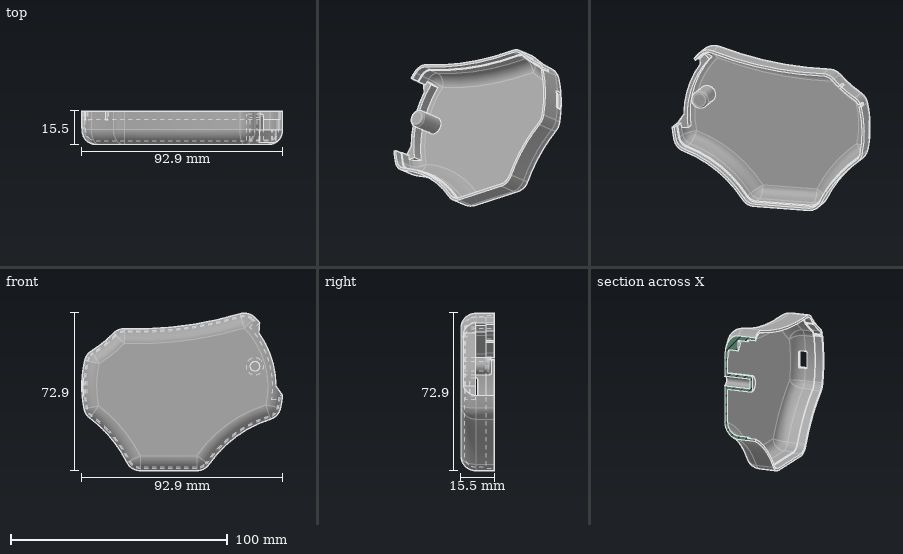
import cadquery as cq
import math


case_depth = 15.5
edge_radius = 7.0
fillet_shortfall = 0.02
wall = 1.7
lip_wall = 1.1
lip_depth = 3.8

top_left = (19.7, 58.8)
top_right = (75.1, 65.9)
right_low = (85.1, 30.4)
bottom_right = (53.2, edge_radius)
bottom_left = (27.1, edge_radius)
left_low = (7.9, 30.0)
left_high = (8.2, 49.5)

top_mid = (57.55, 61.6)
right_mid = (85.8, 43.2)
low_right_mid = (66.55, 20.9)
low_left_mid = (18.75, 19.7)
left_mid = (7.0, 39.6)
high_left_mid = (14.2, 53.7)

recess_inset = 3.2
recess_low_tip = (92.8, 34.8)
recess_low_slope = 125
recess_high_tip = (82.2, 68.3)
recess_high_slope = 266
window_depth = 8.6
window_low_slope = 180
window_high_slope = 225
backing_overlap = 1.95
cut_reach = 27.8
far_corner_angle = 30
far_corner_distance = 120.7

boss_centre = (80.0, 48.3)
boss_diameter = 8.0
boss_hole_diameter = 4.5
boss_hole_depth = 12.5
boss_top_gap = 1.4
boss_top_fillet = 1.0

port_z = (34.6, 42.8)
port_depth = (7.8, 11.6)
port_corner = 0.6
port_reach = 2.5
port_clearance = 0.9

slots = [((11.5, 60.3), 130), ((1.95, 51.9), 160)]
slot_width = 1.1
slot_depth = 4.0
slot_length = 5.6
slot_corner = 0.3


def outline(margin):
    """Outline of the floor face grown outwards by margin, on the rim plane."""
    face = (
        cq.Workplane("XZ")
        .moveTo(*top_left)
        .threePointArc(top_mid, top_right)
        .threePointArc(right_mid, right_low)
        .threePointArc(low_right_mid, bottom_right)
        .lineTo(*bottom_left)
        .threePointArc(low_left_mid, left_low)
        .threePointArc(left_mid, left_high)
        .threePointArc(high_left_mid, top_left)
        .close()
    )
    return face.offset2D(margin, "arc")


def pod(radius, depth):
    """Solid pod whose vertical corners and floor edge share one radius."""
    return outline(radius).extrude(depth).faces("<Y").edges().fillet(radius - fillet_shortfall)


def circle_centre(a, b, c):
    """Centre of the circle through three points."""
    a2, b2, c2 = (p[0] ** 2 + p[1] ** 2 for p in (a, b, c))
    d = 2 * (a[0] * (b[1] - c[1]) + b[0] * (c[1] - a[1]) + c[0] * (a[1] - b[1]))
    x = (a2 * (b[1] - c[1]) + b2 * (c[1] - a[1]) + c2 * (a[1] - b[1])) / d
    z = (a2 * (c[0] - b[0]) + b2 * (a[0] - c[0]) + c2 * (b[0] - a[0])) / d
    return (x, z)


def step(point, angle, distance):
    """Point reached by moving a distance at an angle in the XZ plane."""
    turn = math.radians(angle)
    return (point[0] + distance * math.cos(turn), point[1] + distance * math.sin(turn))


right_centre = circle_centre(top_right, right_mid, right_low)
right_radius = math.dist(right_centre, top_right)
recess_radius = right_radius + edge_radius - recess_inset
backing_radius = recess_radius - wall


def right_block(low_tip, low_slope, high_tip, high_slope, inner_radius, depth):
    """Block over the right side, ending on a line through each tip, outside a given radius."""
    inward = cut_reach / 2
    block = (
        cq.Workplane("XZ")
        .polyline([
            step(low_tip, low_slope, inward),
            step(low_tip, low_slope + 180, cut_reach),
            step(right_centre, far_corner_angle, far_corner_distance),
            step(high_tip, high_slope + 180, cut_reach),
            step(high_tip, high_slope, inward),
        ])
        .close()
        .extrude(depth)
    )
    core = cq.Workplane("XZ").center(*right_centre).circle(inner_radius).extrude(depth)
    return block.cut(core)


def hollow_shell():
    """Pod with a constant wall, thinned to a lip around the rim."""
    cavity = pod(edge_radius - wall, case_depth - wall)
    lip = outline(edge_radius - lip_wall).extrude(lip_depth)
    return pod(edge_radius, case_depth).cut(cavity).cut(lip)


def side_window():
    """Opening through the right wall, from the rim down to the recess wall."""
    return right_block(
        recess_low_tip, window_low_slope, recess_high_tip, window_high_slope, backing_radius, window_depth
    )


def recess_backing():
    """Wall behind the recess, reaching a little past both of its ends."""
    low_tip = (recess_low_tip[0], recess_low_tip[1] - backing_overlap)
    high_tip = step(recess_high_tip, window_high_slope - 90, backing_overlap)
    block = right_block(
        low_tip, window_low_slope, high_tip, window_high_slope, backing_radius, case_depth - window_depth
    )
    return block.translate((0, -window_depth, 0)).intersect(pod(edge_radius, case_depth))


def recess():
    """Recess down the right side, with sloping ends."""
    return right_block(
        recess_low_tip, recess_low_slope, recess_high_tip, recess_high_slope, recess_radius, case_depth
    )


def boss():
    """Post from the floor, stopping short of the rim."""
    post = cq.Workplane("XZ", origin=(0, -boss_top_gap, 0)).center(*boss_centre)
    post = post.circle(boss_diameter / 2).extrude(case_depth - boss_top_gap - wall / 2)
    return post.faces(">Y").edges().fillet(boss_top_fillet)


def boss_hole():
    """Blind hole from the floor face up into the boss."""
    outside = cq.Workplane("XZ", origin=(0, -case_depth, 0)).center(*boss_centre)
    return outside.circle(boss_hole_diameter / 2).extrude(-boss_hole_depth)


def port():
    """Rounded rectangular opening through the left wall."""
    size = (port_depth[1] - port_depth[0], port_z[1] - port_z[0])
    centre = (-sum(port_depth) / 2, sum(port_z) / 2)
    outside = cq.Workplane("YZ", origin=(-port_clearance, 0, 0)).center(*centre)
    opening = outside.rect(*size).extrude(port_clearance + port_reach)
    return opening.edges("|X").fillet(port_corner)


def rim_slot(centre, angle):
    """Slot across the wall, open at the rim and rounded at its bottom corners."""
    cutter = cq.Workplane("XY").box(slot_length, 2 * slot_depth, slot_width)
    cutter = cutter.edges("|X and <Y").fillet(slot_corner)
    cutter = cutter.rotate((0, 0, 0), (0, 1, 0), -angle)
    return cutter.translate((centre[0], 0, centre[1]))


result = hollow_shell().cut(side_window()).union(recess_backing()).cut(recess())
result = result.union(boss()).cut(boss_hole()).cut(port())
for slot_centre, slot_angle in slots:
    result = result.cut(rim_slot(slot_centre, slot_angle))